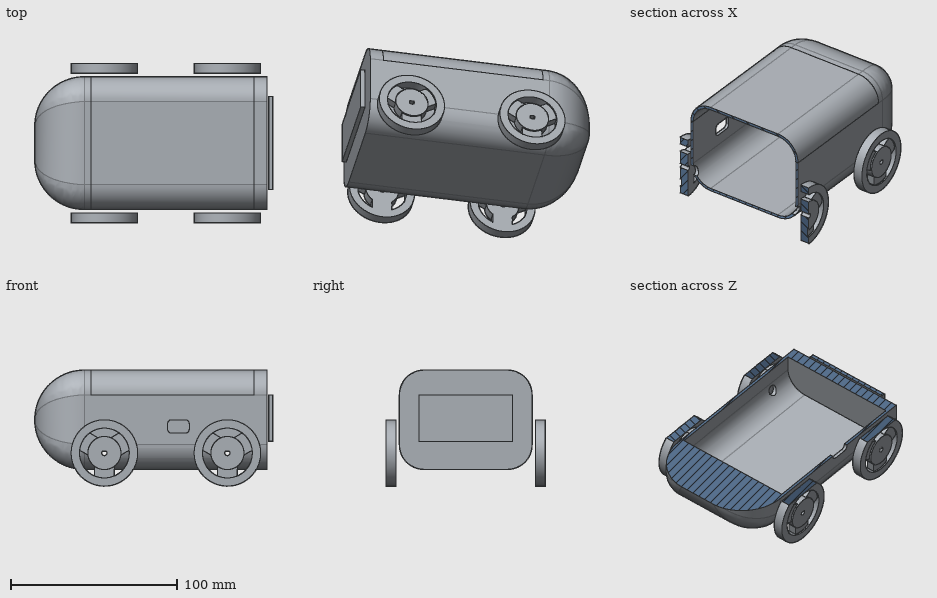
import cadquery as cq

total_length = 143.4
total_width = 96.0

body_length = 140.0
body_width = 80.0
body_height = 60.0
nose_radius = body_height / 2
corner_radius = nose_radius / 2
wall = 2.0
shaft_opening_diameter = 6.0

lid_start = 34.0
lid_end = 131.9
lid_length = lid_end - lid_start
lid_bottom = nose_radius - corner_radius
lid_height = body_height / 2 - lid_bottom

window_start = 80.0
window_length = 13.0
window_height = 8.0
window_corner_radius = 2.5

rim_diameter = 40.0
rim_inner_diameter = 30.0
hub_diameter = 20.0
axle_hole_diameter = 3.0
axle_flat_height = 1.0
wheel_thickness = 6.0
spoke_count = 3
spoke_width = 12.0
spoke_recess = 1.0
axle_height = -rim_diameter / 2
axle_positions = [42.0, 116.0]

panel_thickness = 2.6
panel_width = 56.0
panel_height = 28.0
panel_top = lid_bottom


def along_x(start, length, width, height):
    """Box centred on the X axis that begins at X = start."""
    return cq.Workplane("YZ", origin=(start, 0, 0)).rect(width, height).extrude(length)


def along_y(x, z, y_start):
    """Sketch plane at (x, y_start, z) whose extrusions run toward +Y; local x is +X and local y is -Z."""
    return cq.Workplane(cq.Plane(origin=(x, y_start, z), xDir=(1, 0, 0), normal=(0, 1, 0)))


def make_outer_form():
    """Solid envelope of the housing and lid together."""
    box = along_x(0, body_length, body_width, body_height)
    rounded_in_plan = box.edges("<X and |Z").fillet(nose_radius)
    rounded_in_profile = (
        cq.Workplane("XZ")
        .moveTo(body_length, -nose_radius)
        .lineTo(nose_radius, -nose_radius)
        .threePointArc((0, 0), (nose_radius, nose_radius))
        .lineTo(body_length, nose_radius)
        .close()
        .extrude(body_width / 2, both=True)
    )
    return rounded_in_profile.intersect(rounded_in_plan).edges("|X").fillet(corner_radius)


def make_cavity():
    """Inner space, one wall thickness inside the body all round."""
    inner = along_x(lid_start, lid_length, body_width - 2 * wall, body_height - 2 * wall)
    return inner.edges("|X").fillet(corner_radius - wall)


def make_lid_space():
    """Block of the body that belongs to the lid."""
    return along_x(lid_start, lid_length, body_width, lid_height).translate(
        (0, 0, lid_bottom + lid_height / 2)
    )


def make_window():
    window = along_y(window_start + window_length / 2, -window_height / 2, -body_width / 2)
    return window.rect(window_length, window_height).extrude(wall).edges("|Y").fillet(window_corner_radius)


def make_housing():
    housing = make_outer_form().cut(make_cavity()).cut(make_lid_space()).cut(make_window())
    for x in axle_positions:
        shaft_bore = along_y(x, axle_height, -body_width / 2).circle(shaft_opening_diameter / 2)
        housing = housing.cut(shaft_bore.extrude(body_width))
    return housing


def make_lid():
    return make_outer_form().intersect(make_lid_space()).cut(make_cavity())


def make_axle_hole():
    """D-shaped cutter with its flat on top, running from the XY plane toward -Z."""
    round_hole = cq.Workplane("XY").circle(axle_hole_diameter / 2).extrude(-wheel_thickness)
    flat_centre = axle_flat_height - axle_hole_diameter / 2
    below_flat = (
        cq.Workplane("XY")
        .center(0, flat_centre)
        .rect(axle_hole_diameter, axle_hole_diameter)
        .extrude(-wheel_thickness)
    )
    return round_hole.intersect(below_flat)


def make_wheel(x, side):
    """Wheel at axle position x; side is -1 for the -Y side and +1 for the +Y side."""
    rim = cq.Workplane("XY").circle(rim_diameter / 2).circle(rim_inner_diameter / 2).extrude(-wheel_thickness)
    hub = cq.Workplane("XY").circle(hub_diameter / 2).extrude(-wheel_thickness)
    wheel = rim.union(hub)
    spoke_reach = (rim_diameter + rim_inner_diameter) / 4
    for index in range(spoke_count):
        spoke = (
            cq.Workplane("XY", origin=(0, 0, -spoke_recess))
            .center(0, -spoke_reach / 2)
            .rect(spoke_width, spoke_reach)
            .extrude(spoke_recess - wheel_thickness)
            .rotate((0, 0, 0), (0, 0, 1), index * 360 / spoke_count)
        )
        wheel = wheel.union(spoke)
    upright = wheel.cut(make_axle_hole()).rotate((0, 0, 0), (1, 0, 0), 90)
    placed = upright.translate((x, -total_width / 2, axle_height))
    return placed if side < 0 else placed.mirror("XZ")


def make_panel():
    panel = along_x(total_length - panel_thickness, panel_thickness, panel_width, panel_height)
    return panel.translate((0, 0, panel_top - panel_height / 2))


housing = make_housing()
lid = make_lid()
wheels = [make_wheel(x, side) for x in axle_positions for side in (-1, 1)]
panel = make_panel()

result = cq.Compound.makeCompound(
    [housing.val(), lid.val(), *[wheel.val() for wheel in wheels], panel.val()]
)